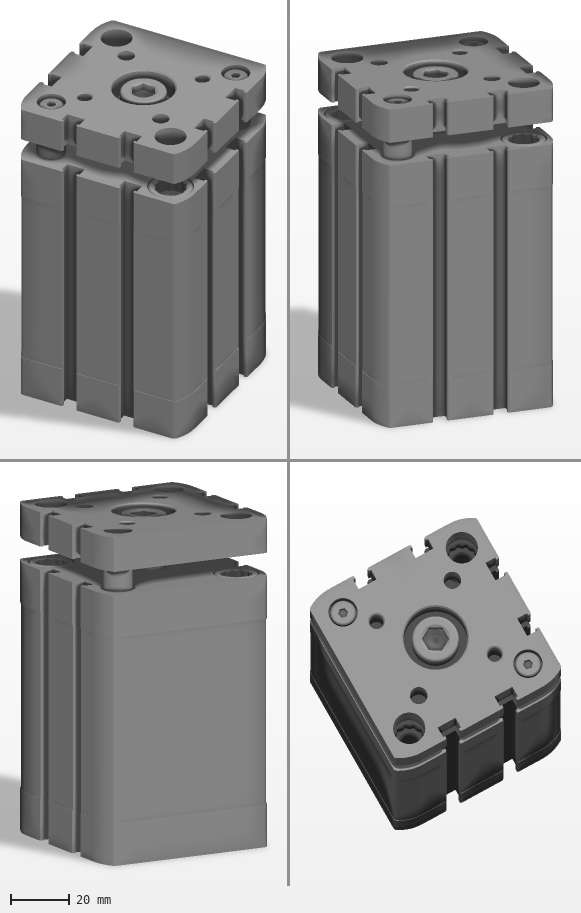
import cadquery as cq
import math

width = 65.5
total_height = 115.2
housing_height = 95.0
cap_height = 15.0
plate_thickness = 12.0
plate_bottom = total_height - plate_thickness

corner_arc_radius = 16.5
corner_arc_start = 23.45
housing_edge_fillet = 1.5
plate_edge_fillet = 1.1
tube_inset = 0.2

slot_offset = 11.15
slot_neck_width = 5.3
slot_neck_depth = 1.2
slot_cavity_width = 7.0
slot_depth = 5.0
slot_lip_chamfer = 0.35

guide_offset = 23.25
plate_hole_offset = 14.85

rod_diameter = 16.0
rod_tip_drop = 1.0
rod_tip_fillet = 0.9
rod_flat_width = 13.0
rod_flat_bottom = 96.8
rod_flat_runout_angle = 30.0
rod_depth_in_housing = cap_height
rod_hole_mouth_diameter = 10.0
rod_socket_width = 8.0
rod_socket_depth = 3.0
rod_hole_step_diameter = 4.92
rod_hole_cone_angle = 118.0
rod_hole_step_angle = 90.0

socket_bevel_angle = 30.0

guide_rod_diameter = 10.0
guide_rod_depth_in_housing = cap_height
bush_diameter = 12.0
bush_recess_depth = 0.2
screw_pocket_diameter = 10.0
screw_pocket_depth = 4.0
screw_head_diameter = 8.5
screw_head_chamfer = 0.5
screw_head_drop = 1.0
screw_socket_width = 3.0
screw_socket_depth = 2.0
screw_socket_angle = -45.0

center_bore_diameter = 22.0
center_bore_depth = 8.0
center_bore_chamfer = 0.5
access_hole_diameter = 11.0
pin_hole_diameter = 6.0
threaded_hole_diameter = 5.0
threaded_hole_mouth = 6.0

mount_groove_outer_diameter = 16.0
mount_groove_inner_diameter = 15.5
mount_groove_depth = 1.0
mount_head_chamfer = 0.5
mount_socket_mouth = 12.0
mount_socket_width = 10.0
mount_socket_depth = 5.1
mount_socket_angles = (15, 45)
mount_sink_angle = 90.0
mount_sink_diameter = 8.0
mount_hole_diameter = 6.65

rod_diagonal = [(-1, -1), (1, 1)]
hole_diagonal = [(-1, 1), (1, -1)]


def at(diagonal, offset):
    """Points at the given offset from the axis along one diagonal."""
    return [(sx * offset, sy * offset) for sx, sy in diagonal]


def cylinder(diameter, bottom, top, points=((0, 0),)):
    """Upright cylinders between two heights."""
    base = cq.Workplane("XY", origin=(0, 0, bottom))
    return base.pushPoints(points).circle(diameter / 2).extrude(top - bottom)


def revolved(profile, points=((0, 0),)):
    """Solid turned from (radius, z) points about the Z axis, copied to each point."""
    turned = cq.Workplane("XZ").polyline(profile).close().revolve(360, (0, 0, 0), (0, 1, 0)).val()
    copies = [turned.moved(cq.Location(cq.Vector(x, y, 0))) for x, y in points]
    return cq.Workplane("XY").newObject(copies)


def hex_prism(width_across_flats, bottom, top, corner_angle):
    """Upright hexagonal prism on the Z axis with one corner at the given angle from X."""
    corner_diameter = width_across_flats / math.cos(math.pi / 6)
    prism = cq.Workplane("XY", origin=(0, 0, bottom)).polygon(6, corner_diameter).extrude(top - bottom)
    return prism.rotate((0, 0, 0), (0, 0, 1), corner_angle)


def hex_socket(width_across_flats, mouth_diameter, top, depth, corner_angle=0):
    """Hexagon socket going down from a flat face, with a conical mouth bevel."""
    prism = hex_prism(width_across_flats, top - depth, top, corner_angle)
    mouth = mouth_diameter / 2
    bevel_depth = mouth * math.tan(math.radians(socket_bevel_angle))
    bevel = revolved([(0, top), (mouth, top), (0, top - bevel_depth)])
    return prism.union(bevel)


def cut_all(body, tools):
    """Body with every solid of the tools cut away."""
    for tool in tools.vals():
        body = body.cut(cq.Workplane(tool))
    return body


def block(bottom, height, inset, edge_fillet):
    """Prism whose X sides curve in through large arcs and meet the Y sides at a small fillet."""
    half = width / 2 - inset
    radius = corner_arc_radius - inset
    arc_center = half - radius

    def arc_x(y):
        return arc_center + math.sqrt(radius**2 - (y - corner_arc_start) ** 2)

    end_x = arc_x(half)
    mid_y = (corner_arc_start + half) / 2
    mid_x = arc_x(mid_y)
    outline = (
        cq.Workplane("XY", origin=(0, 0, bottom))
        .moveTo(-end_x, -half)
        .lineTo(end_x, -half)
        .threePointArc((mid_x, -mid_y), (half, -corner_arc_start))
        .lineTo(half, corner_arc_start)
        .threePointArc((mid_x, mid_y), (end_x, half))
        .lineTo(-end_x, half)
        .threePointArc((-mid_x, mid_y), (-half, corner_arc_start))
        .lineTo(-half, -corner_arc_start)
        .threePointArc((-mid_x, -mid_y), (-end_x, -half))
        .close()
    )
    prism = outline.extrude(height)
    middle = bottom + height / 2
    for sx in (-1, 1):
        for sy in (-1, 1):
            corner = (sx * end_x, sy * half, middle)
            prism = prism.edges(cq.selectors.NearestToPointSelector(corner)).fillet(edge_fillet)
    return prism


def slot_cutters():
    """T-slots over the full height: a chamfered mouth, a narrow neck and a wider cavity."""
    face = width / 2
    neck = slot_neck_width / 2
    mouth = neck + slot_lip_chamfer
    cavity = slot_cavity_width / 2
    half_section = [
        (mouth, face),
        (neck, face - slot_lip_chamfer),
        (neck, face - slot_neck_depth),
        (cavity, face - slot_neck_depth),
        (cavity, face - slot_depth),
    ]
    section = half_section + [(-u, v) for u, v in reversed(half_section)]
    cutters = cq.Workplane("XY")
    for side_angle in (90, 180, 270):
        for center in (-slot_offset, slot_offset):
            points = [(center + u, v) for u, v in section]
            slot = cq.Workplane("XY").polyline(points).close().extrude(total_height)
            cutters = cutters.add(slot.rotate((0, 0, 0), (0, 0, 1), side_angle))
    return cutters


def mounting_hole():
    """Ring groove around a bevelled head face, twelve-point socket, countersink and through hole."""
    top = housing_height
    groove_outer = mount_groove_outer_diameter / 2
    groove_inner = mount_groove_inner_diameter / 2
    groove_floor = top - mount_groove_depth
    groove_section = [
        (groove_outer, top),
        (groove_outer, groove_floor),
        (groove_inner, groove_floor),
        (groove_inner, top - mount_head_chamfer),
        (groove_inner - mount_head_chamfer, top),
    ]

    sink = mount_sink_diameter / 2
    bore = mount_hole_diameter / 2
    socket_floor = top - mount_socket_depth
    sink_depth = (sink - bore) / math.tan(math.radians(mount_sink_angle / 2))
    bore_section = [
        (0, socket_floor),
        (sink, socket_floor),
        (bore, socket_floor - sink_depth),
        (bore, 0),
        (0, 0),
    ]
    hole = revolved(bore_section).union(revolved(groove_section))
    for corner_angle in mount_socket_angles:
        hexagon = hex_socket(mount_socket_width, mount_socket_mouth, top, mount_socket_depth, corner_angle)
        hole = hole.union(hexagon)
    return hole


def make_housing():
    tube_height = housing_height - 2 * cap_height
    housing = block(0, cap_height, 0, housing_edge_fillet)
    housing = housing.union(block(cap_height, tube_height, tube_inset, housing_edge_fillet))
    housing = housing.union(block(housing_height - cap_height, cap_height, 0, housing_edge_fillet))
    housing = cut_all(housing, slot_cutters())

    guide_points = at(rod_diagonal, guide_offset)
    housing = housing.cut(cylinder(rod_diameter, housing_height - rod_depth_in_housing, housing_height))
    guide_bottom = housing_height - guide_rod_depth_in_housing
    housing = housing.cut(cylinder(guide_rod_diameter, guide_bottom, housing_height, guide_points))
    bush_bottom = housing_height - bush_recess_depth
    housing = housing.cut(cylinder(bush_diameter, bush_bottom, housing_height, guide_points))

    for x, y in at(hole_diagonal, guide_offset):
        housing = housing.cut(mounting_hole().translate((x, y, 0)))
    return housing


def center_bore():
    """Bevelled bore around the tip of the piston rod."""
    bore = center_bore_diameter / 2
    floor = total_height - center_bore_depth
    return revolved(
        [
            (0, total_height),
            (bore + center_bore_chamfer, total_height),
            (bore, total_height - center_bore_chamfer),
            (bore, floor),
            (0, floor),
        ]
    )


def threaded_holes():
    """Through holes with a 45 degree mouth bevel."""
    mouth = threaded_hole_mouth / 2
    hole = threaded_hole_diameter / 2
    section = [
        (0, total_height),
        (mouth, total_height),
        (hole, total_height - (mouth - hole)),
        (hole, plate_bottom),
        (0, plate_bottom),
    ]
    return revolved(section, at(rod_diagonal, plate_hole_offset))


def add_guide_screws(plate):
    """Screw heads standing in round pockets, each with a hexagon socket."""
    points = at(rod_diagonal, guide_offset)
    pocket_floor = total_height - screw_pocket_depth
    head_top = total_height - screw_head_drop
    plate = plate.cut(cylinder(screw_pocket_diameter, pocket_floor, total_height, points))
    heads = cylinder(screw_head_diameter, pocket_floor, head_top, points)
    plate = plate.union(heads.faces(">Z").chamfer(screw_head_chamfer))
    socket = hex_prism(screw_socket_width, head_top - screw_socket_depth, head_top, screw_socket_angle)
    for x, y in points:
        plate = plate.cut(socket.translate((x, y, 0)))
    return plate


def make_plate():
    plate = block(plate_bottom, plate_thickness, 0, plate_edge_fillet)
    plate = cut_all(plate, slot_cutters())
    plate = cut_all(plate, center_bore())
    access_points = at(hole_diagonal, guide_offset)
    plate = plate.cut(cylinder(access_hole_diameter, plate_bottom, total_height, access_points))
    pin_points = at(hole_diagonal, plate_hole_offset)
    plate = plate.cut(cylinder(pin_hole_diameter, plate_bottom, total_height, pin_points))
    plate = cut_all(plate, threaded_holes())
    return add_guide_screws(plate)


def make_piston_rod():
    """Piston rod with two wrench flats under the plate."""
    bottom = housing_height - rod_depth_in_housing
    tip = total_height - rod_tip_drop
    rod = cylinder(rod_diameter, bottom, tip).faces(">Z").edges().fillet(rod_tip_fillet)

    flat = rod_flat_width / 2
    outside = rod_diameter / 2
    runout = (outside - flat) * math.tan(math.radians(rod_flat_runout_angle))
    flat_section = [
        (flat, plate_bottom),
        (flat, rod_flat_bottom),
        (outside, rod_flat_bottom - runout),
        (outside, plate_bottom),
    ]
    for side in (-1, 1):
        points = [(side * y, z) for y, z in flat_section]
        rod = rod.cut(cq.Workplane("YZ").polyline(points).close().extrude(outside, both=True))
    return rod


def rod_end_hole():
    """Hexagon socket in the piston rod tip that ends in a stepped cone."""
    tip = total_height - rod_tip_drop
    socket_floor = tip - rod_socket_depth
    socket = rod_socket_width / 2
    step = rod_hole_step_diameter / 2
    step_z = socket_floor - (socket - step) / math.tan(math.radians(rod_hole_step_angle / 2))
    point_z = step_z - step / math.tan(math.radians(rod_hole_cone_angle / 2))
    cone = revolved([(0, socket_floor), (socket, socket_floor), (step, step_z), (0, point_z)])
    return hex_socket(rod_socket_width, rod_hole_mouth_diameter, tip, rod_socket_depth).union(cone)


def make_yoke():
    guide_bottom = housing_height - guide_rod_depth_in_housing
    guide_rods = cylinder(guide_rod_diameter, guide_bottom, plate_bottom, at(rod_diagonal, guide_offset))
    yoke = make_plate().union(make_piston_rod()).union(guide_rods)
    return yoke.cut(rod_end_hole())


housing = make_housing()
yoke = make_yoke()
result = cq.Compound.makeCompound([housing.val(), yoke.val()])